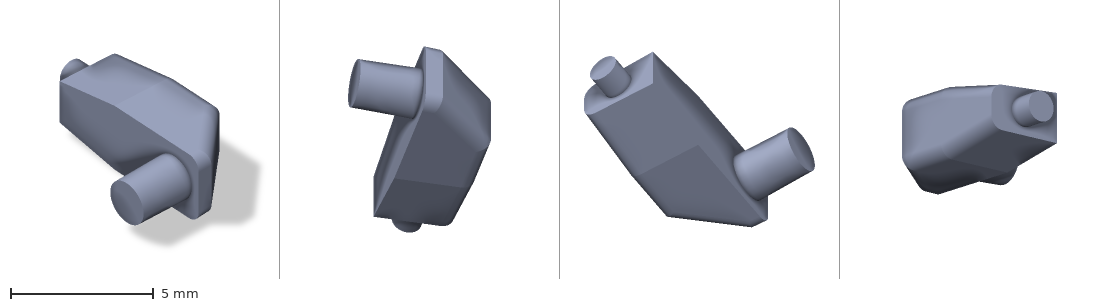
import cadquery as cq
import math

body_length = 7.18
body_depth = 2.91
body_height = 2.8
nose_height = 1.82
nose_length = 2.83
draft_angle = 2.0
edge_radius = 0.5

slope_start_x = 5.1
slope_end_y = 0.63

pin_diameter = 1.1
pin_length = 0.97
pin_y = body_depth / 2

post_diameter = 1.8
post_length = 2.26
post_x = 5.92
post_draft_angle = 1.0

pin_overlap = 0.3
nose_lead = 0.3


def make_drafted_block():
    """Wedge-nosed block, drafted on every side except the flat nose face."""
    half_height = body_height / 2
    half_nose = nose_height / 2
    nose_slope = (half_height - half_nose) / nose_length
    half_lead = half_nose - nose_lead * nose_slope
    block = (
        cq.Workplane("XZ")
        .moveTo(-nose_lead, -half_lead)
        .lineTo(nose_length, -half_height)
        .lineTo(body_length, -half_height)
        .lineTo(body_length, half_height)
        .lineTo(nose_length, half_height)
        .lineTo(-nose_lead, half_lead)
        .close()
        .extrude(-body_depth, taper=draft_angle)
    )
    nose_trim = (
        cq.Workplane("XY")
        .moveTo(-nose_lead, 0)
        .lineTo(0, 0)
        .lineTo(0, body_depth)
        .lineTo(-nose_lead, body_depth)
        .close()
        .extrude(body_height, both=True)
    )
    return block.cut(nose_trim)


def cut_slope(block):
    """Remove the back corner of the far end."""
    end_inset = slope_end_y * math.tan(math.radians(draft_angle))
    end_x = body_length - end_inset
    run = end_x - slope_start_x
    rise = body_depth - slope_end_y
    corner = (
        cq.Workplane("XY")
        .moveTo(slope_start_x, body_depth)
        .lineTo(end_x, slope_end_y)
        .lineTo(end_x + run, slope_end_y)
        .lineTo(end_x + run, body_depth + rise)
        .lineTo(slope_start_x, body_depth + rise)
        .close()
        .extrude(body_height, both=True)
    )
    return block.cut(corner)


def round_outer_edges(block):
    """Round the upper and lower edges of the back, slope and end faces."""
    middle_y = body_depth / 2

    def is_rounded(edge):
        start = edge.startPoint()
        end = edge.endPoint()
        spans_height = start.z * end.z < 0
        at_back = min(start.y, end.y) > middle_y
        at_far_end = edge.Center().x > post_x
        at_mating_face = max(start.y, end.y) < edge_radius / 2
        runs_to_nose = start.x < edge_radius and end.x < edge_radius
        is_outer = at_back or at_far_end
        is_excluded = spans_height or at_mating_face or runs_to_nose
        return is_outer and not is_excluded

    edges = [edge for edge in block.edges().vals() if is_rounded(edge)]
    return block.newObject(edges).fillet(edge_radius)


def make_pin():
    """Straight round pin standing out from the nose face."""
    return (
        cq.Workplane("YZ", origin=(-pin_length, pin_y, 0))
        .circle(pin_diameter / 2)
        .extrude(pin_length + pin_overlap)
    )


def make_post():
    """Round post on the mating face, narrowing toward its tip."""
    return (
        cq.Workplane("XZ", origin=(post_x, 0, 0))
        .circle(post_diameter / 2)
        .extrude(post_length, taper=post_draft_angle)
    )


body = round_outer_edges(cut_slope(make_drafted_block()))
result = body.union(make_pin()).union(make_post())